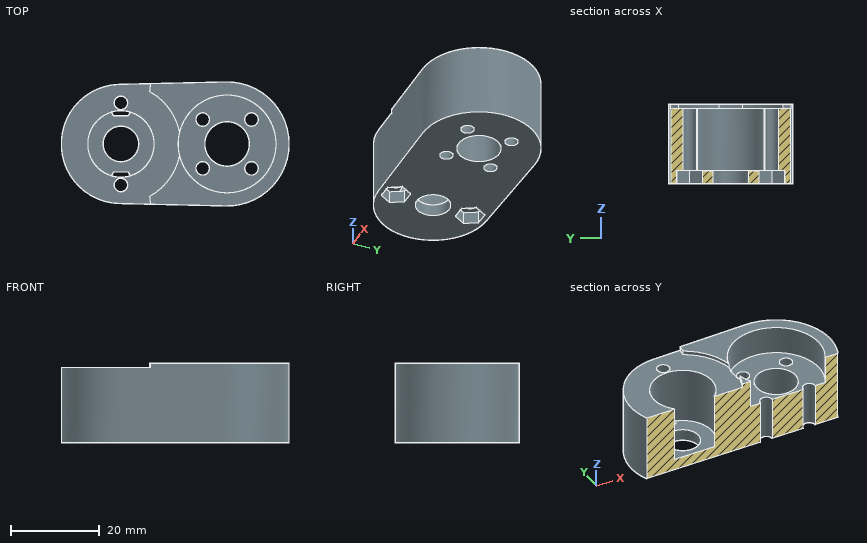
import cadquery as cq
import math

small_end_radius = 13.5
overall_width = 28.05
big_end_radius = overall_width / 2
overall_length = 51.5
center_distance = overall_length - small_end_radius - big_end_radius
height = 18

step_depth = 1.0
step_radius = small_end_radius
step_corner_x = 6.5
step_edge_x = 6.75

small_bore_diameter = 15.0
small_shaft_diameter = 8.0
small_floor_thickness = 3.0
small_screw_offset = 9.25
nut_across_flats = 5.75
nut_pocket_depth = small_floor_thickness

big_bore_diameter = 22.1
big_bore_depth = 7.0
big_shaft_diameter = 10.0
big_screw_offset = 5.5

screw_diameter = 3.0


def cylinder(x, y, diameter, bottom, top):
    """Upright cylinder between two heights."""
    return cq.Workplane("XY", origin=(x, y, bottom)).circle(diameter / 2).extrude(top - bottom)


def make_body():
    tilt_sine = (big_end_radius - small_end_radius) / center_distance
    tilt_cosine = math.sqrt(1 - tilt_sine**2)
    small_x = -small_end_radius * tilt_sine
    small_y = small_end_radius * tilt_cosine
    big_x = center_distance - big_end_radius * tilt_sine
    big_y = big_end_radius * tilt_cosine
    return (
        cq.Workplane("XY")
        .moveTo(small_x, small_y)
        .threePointArc((-small_end_radius, 0), (small_x, -small_y))
        .lineTo(big_x, -big_y)
        .threePointArc((center_distance + big_end_radius, 0), (big_x, big_y))
        .close()
        .extrude(height)
    )


def make_step_cut():
    corner_y = math.sqrt(step_radius**2 - step_corner_x**2)
    outer_y = big_end_radius
    return (
        cq.Workplane("XY", origin=(0, 0, height - step_depth))
        .moveTo(step_corner_x, corner_y)
        .threePointArc((step_radius, 0), (step_corner_x, -corner_y))
        .lineTo(step_edge_x, -outer_y)
        .lineTo(-small_end_radius, -outer_y)
        .lineTo(-small_end_radius, outer_y)
        .lineTo(step_edge_x, outer_y)
        .close()
        .extrude(step_depth)
    )


def cut_small_end(body):
    body = body.cut(cylinder(0, 0, small_bore_diameter, small_floor_thickness, height))
    body = body.cut(cylinder(0, 0, small_shaft_diameter, 0, height))
    nut_across_corners = nut_across_flats / math.cos(math.pi / 6)
    for side in (-1, 1):
        y = side * small_screw_offset
        body = body.cut(cylinder(0, y, screw_diameter, 0, height))
        nut = cq.Workplane("XY", origin=(0, y, 0)).polygon(6, nut_across_corners).extrude(nut_pocket_depth)
        body = body.cut(nut)
    return body


def cut_big_end(body):
    floor = height - big_bore_depth
    body = body.cut(cylinder(center_distance, 0, big_bore_diameter, floor, height))
    body = body.cut(cylinder(center_distance, 0, big_shaft_diameter, 0, height))
    for side_x in (-1, 1):
        for side_y in (-1, 1):
            x = center_distance + side_x * big_screw_offset
            y = side_y * big_screw_offset
            body = body.cut(cylinder(x, y, screw_diameter, 0, height))
    return body


result = make_body().cut(make_step_cut())
result = cut_small_end(result)
result = cut_big_end(result)